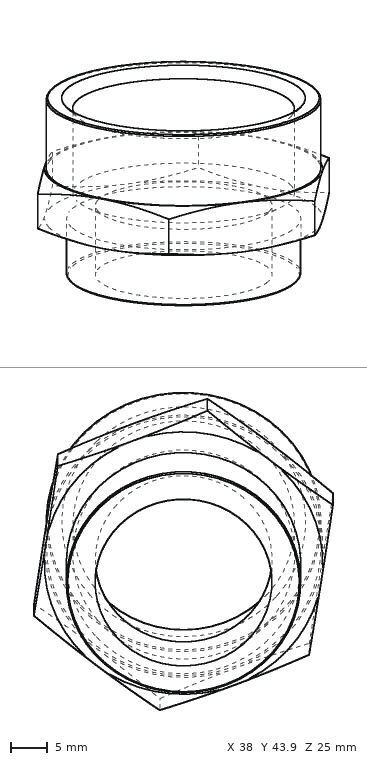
import cadquery as cq
import math

total_height = 25.0
hex_bottom = 8.0
hex_top = 15.0

hex_across_flats = 38.0
hex_sides = 6
hex_half_sector = 180.0 / hex_sides
hex_across_corners = hex_across_flats / math.cos(math.radians(hex_half_sector))
hex_bevel_start_diameter = hex_across_flats
hex_bevel_angle = 20.0
spigot_diameter = 32.0
socket_diameter = 37.5
edge_chamfer = 0.2

socket_bore_diameter = 30.29
through_bore_diameter = 24.12
mouth_chamfer = 1.5
seat_angle = 30.0
seat_end_depth = 15.2


def revolve_profile(points):
    """Turn a closed (radius, z) outline around the Z axis."""
    return cq.Workplane("XZ").polyline(points).close().revolve(360, (0, 0), (0, 1))


def make_hexagon():
    """Hexagonal collar with corners on the Y axis, bevelled at both ends."""
    prism = (
        cq.Workplane("XY")
        .workplane(offset=hex_bottom)
        .polygon(hex_sides, hex_across_corners)
        .extrude(hex_top - hex_bottom)
        .rotate((0, 0, 0), (0, 0, 1), hex_half_sector)
    )
    start_radius = hex_bevel_start_diameter / 2
    corner_radius = hex_across_corners / 2
    bevel_drop = (corner_radius - start_radius) * math.tan(math.radians(hex_bevel_angle))
    envelope = revolve_profile([
        (0, hex_bottom),
        (start_radius, hex_bottom),
        (corner_radius, hex_bottom + bevel_drop),
        (corner_radius, hex_top - bevel_drop),
        (start_radius, hex_top),
        (0, hex_top),
    ])
    return prism.intersect(envelope)


def make_spigot():
    """Lower cylinder, chamfered at its bottom edge."""
    return (
        cq.Workplane("XY")
        .circle(spigot_diameter / 2)
        .extrude(hex_top)
        .faces("<Z")
        .chamfer(edge_chamfer)
    )


def make_socket():
    """Upper cylinder, chamfered at its top edge."""
    return (
        cq.Workplane("XY")
        .workplane(offset=hex_bottom)
        .circle(socket_diameter / 2)
        .extrude(total_height - hex_bottom)
        .faces(">Z")
        .chamfer(edge_chamfer)
    )


def make_bore():
    """Stepped bore: chamfered mouth, straight socket, conical seat, through hole."""
    socket_radius = socket_bore_diameter / 2
    through_radius = through_bore_diameter / 2
    seat_bottom = total_height - seat_end_depth
    seat_rise = (socket_radius - through_radius) * math.tan(math.radians(seat_angle))
    return revolve_profile([
        (0, 0),
        (through_radius, 0),
        (through_radius, seat_bottom),
        (socket_radius, seat_bottom + seat_rise),
        (socket_radius, total_height - mouth_chamfer),
        (socket_radius + mouth_chamfer, total_height),
        (0, total_height),
    ])


result = make_hexagon().union(make_spigot()).union(make_socket()).cut(make_bore())